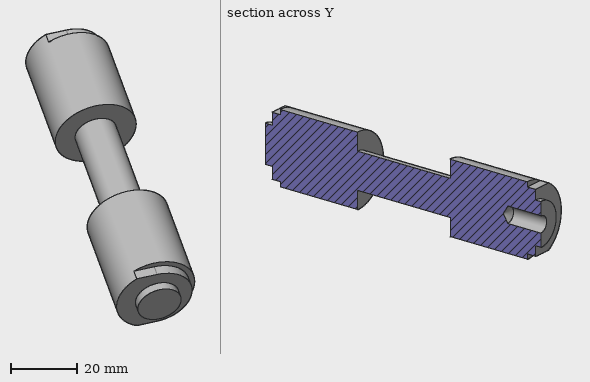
import cadquery as cq
import math

total_length = 104.5
left_collar_length = 2.0
right_collar_length = 2.6
roller_length = 32.5

roller_diameter = 25.4
shaft_diameter = 13.0
left_collar_diameter = 15.1
right_collar_diameter = 13.6

step_length = 3.1
step_radius = 11.0

hole_diameter = 5.5
hole_depth = 12.5
drill_point_angle = 118.0

left_end = -total_length / 2
right_end = total_length / 2
left_roller_start = left_end + left_collar_length
right_roller_end = right_end - right_collar_length


def cylinder(start, length, diameter):
    """Solid cylinder along +X beginning at x = start."""
    return cq.Workplane("YZ", origin=(start, 0, 0)).circle(diameter / 2).extrude(length)


def stepped_end(start):
    """Roller end section: round on the +Y side, flat above and below, full radius on -Y."""
    full_disc = cylinder(start, step_length, roller_diameter)
    rounded_bar = (
        cq.Workplane("YZ", origin=(start, 0, 0))
        .moveTo(-roller_diameter, -step_radius)
        .lineTo(0, -step_radius)
        .threePointArc((step_radius, 0), (0, step_radius))
        .lineTo(-roller_diameter, step_radius)
        .close()
        .extrude(step_length)
    )
    return full_disc.intersect(rounded_bar)


def drilled_hole():
    """Blind hole from the left end, finished by a conical drill point."""
    radius = hole_diameter / 2
    point_length = radius / math.tan(math.radians(drill_point_angle / 2))
    return (
        cq.Workplane("XY")
        .moveTo(left_end, 0)
        .lineTo(left_end, radius)
        .lineTo(left_end + hole_depth, radius)
        .lineTo(left_end + hole_depth + point_length, 0)
        .close()
        .revolve(360, (0, 0, 0), (1, 0, 0))
    )


shaft = cylinder(left_end, total_length, shaft_diameter)
left_collar = cylinder(left_end, left_collar_length, left_collar_diameter)
right_collar = cylinder(right_roller_end, right_collar_length, right_collar_diameter)

body_length = roller_length - step_length
left_roller = cylinder(left_roller_start + step_length, body_length, roller_diameter)
right_roller = cylinder(right_roller_end - roller_length, body_length, roller_diameter)

result = (
    shaft.union(left_collar)
    .union(left_roller)
    .union(stepped_end(left_roller_start))
    .union(right_roller)
    .union(stepped_end(right_roller_end - step_length))
    .union(right_collar)
    .cut(drilled_hole())
)